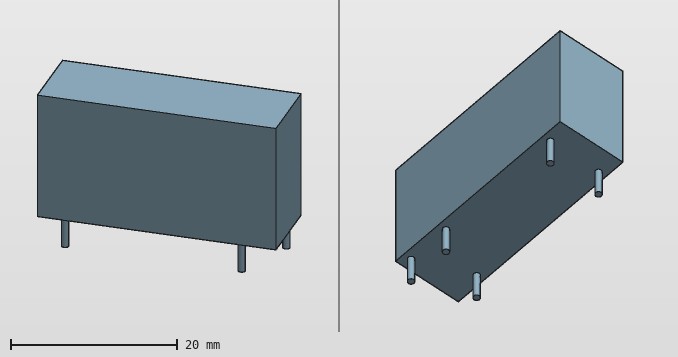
import cadquery as cq

case_length = 30.0
case_width = 10.0
case_height = 16.2

pin_diameter = 0.9
pin_length = 4.0
row_inset = 1.17
front_row_y = row_inset
back_row_y = case_width - row_inset

coil_x = 3.12
contact_middle_x = 25.32
contact_pitch = 3.18

pin_places = [
    (coil_x, front_row_y),
    (coil_x, back_row_y),
    (contact_middle_x, front_row_y),
    (contact_middle_x - contact_pitch, back_row_y),
    (contact_middle_x + contact_pitch, back_row_y),
]

case = cq.Workplane("XY").box(case_length, case_width, case_height, centered=False)

pins = cq.Workplane("XY").pushPoints(pin_places).circle(pin_diameter / 2).extrude(-pin_length)

result = case.union(pins)